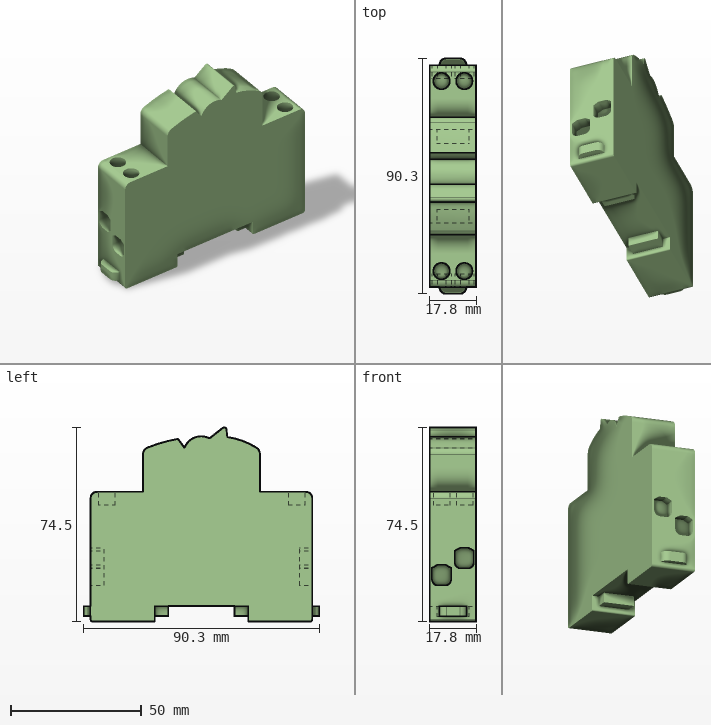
import math

import cadquery as cq

width = 17.8
overall_length = 90.32
overall_height = 74.45

body_length = 85.0
shoulder_height = 49.8
shoulder_radius = 2.5
foot_radius = 1.0

slot_length = 35.7
slot_height = 6.0
slot_edge_radius = 0.5

hood_length = 44.9
hood_radius = 3.0
rear_roof_radius = 60.0
front_roof_radius = 29.0
rear_eave_height = 66.0
front_eave_height = 65.8
rear_roof_end = (9.0, 70.1)
front_roof_end = (-9.95, 70.8)

hub_center = (0.1, 64.25)
hub_radius = 6.84
hub_gap_angle = math.radians(21)
hub_lever_angle = math.radians(118)
lever_angle = math.radians(38.7)
lever_back_draft = math.radians(5)
lever_tip_radius = 0.95
lever_tip_y = -8.7

clip_bottom = 2.15
clip_inner_y = 12.63
clip_tip_width = 8.76
clip_inner_width = 12.3
clip_draft = math.radians(19)
clip_tip_radius = 2.5

terminal_x = 4.36
screw_hole_diameter = 6.3
screw_hole_inset = 6.1
screw_hole_depth = 5.0
wire_hole_width = 7.35
wire_hole_height = 7.9
wire_hole_depth = 5.0
wire_hole_bottom_radius = 2.4
wire_hole_chamfer_width = 2.05
wire_hole_chamfer_height = 1.2
lower_wire_hole_bottom = 13.9
wire_hole_step = 6.53

ENDS = (-1, 1)


def on_circle(center, radius, angle):
    """Point on a circle, with the angle measured from +Y towards +Z."""
    return (center[0] + radius * math.cos(angle), center[1] + radius * math.sin(angle))


def make_body():
    """Lower block with rounded shoulders and feet, and the rail slot cut out."""
    half = body_length / 2
    block = cq.Workplane("XY").box(width, body_length, shoulder_height, centered=(True, True, False))
    block = block.edges("|X and >Z").fillet(shoulder_radius)
    block = block.edges("|X and <Z").fillet(foot_radius)
    slot = cq.Workplane("XY").box(width, slot_length, slot_height, centered=(True, True, False))
    block = block.cut(slot)
    slot_mouth = cq.selectors.BoxSelector(
        (-width, -half + 2 * foot_radius, -foot_radius),
        (width, half - 2 * foot_radius, foot_radius),
    )
    return block.edges("|X").edges(slot_mouth).fillet(slot_edge_radius)


def make_hood():
    """Raised middle part, including the toggle hub and lever."""
    half = hood_length / 2
    tip_center = (lever_tip_y, overall_height - lever_tip_radius)
    tip_start = on_circle(tip_center, lever_tip_radius, math.pi / 2 - lever_angle)
    tip_top = (lever_tip_y, overall_height)
    tip_end = on_circle(tip_center, lever_tip_radius, math.pi - lever_back_draft)

    gap_bottom = on_circle(hub_center, hub_radius, hub_gap_angle)
    hub_top = on_circle(hub_center, hub_radius, math.pi / 2)
    lever_root = on_circle(hub_center, hub_radius, hub_lever_angle)

    outline = (
        cq.Workplane("YZ", origin=(-width / 2, 0, 0))
        .moveTo(-half, slot_height)
        .lineTo(half, slot_height)
        .lineTo(half, rear_eave_height)
        .radiusArc(rear_roof_end, -rear_roof_radius)
        .lineTo(*gap_bottom)
        .threePointArc(hub_top, lever_root)
        .lineTo(*tip_start)
        .threePointArc(tip_top, tip_end)
        .lineTo(*front_roof_end)
        .radiusArc((-half, front_eave_height), -front_roof_radius)
        .close()
    )
    hood = outline.extrude(width)
    return hood.edges("|X and (<Y or >Y) and (not <Z)").fillet(hood_radius)


def make_clip(end):
    """Rail clip at one end: straight inside the body, drafted and rounded outside."""
    tip_y = end * overall_length / 2
    draft_length = (clip_inner_width - clip_tip_width) / 2 / math.tan(clip_draft)
    outline = [
        (-clip_tip_width / 2, tip_y),
        (clip_tip_width / 2, tip_y),
        (clip_inner_width / 2, tip_y - end * draft_length),
        (clip_inner_width / 2, end * clip_inner_y),
        (-clip_inner_width / 2, end * clip_inner_y),
        (-clip_inner_width / 2, tip_y - end * draft_length),
    ]
    clip = (
        cq.Workplane("XY", origin=(0, 0, clip_bottom))
        .polyline(outline)
        .close()
        .extrude(slot_height - clip_bottom)
    )
    tip_face = ">Y" if end > 0 else "<Y"
    return clip.faces(tip_face).edges("|Z").fillet(clip_tip_radius)


def make_screw_hole(x, end):
    """Blind round hole going down from the shoulder."""
    y = end * (body_length / 2 - screw_hole_inset)
    return (
        cq.Workplane("XY", origin=(x, y, shoulder_height - screw_hole_depth))
        .circle(screw_hole_diameter / 2)
        .extrude(screw_hole_depth)
    )


def make_wire_hole(x, bottom, end):
    """Blind wire entry in an end face: chamfered at the top, rounded at the bottom."""
    half = wire_hole_width / 2
    top_half = half - wire_hole_chamfer_width
    chamfer_start = wire_hole_height - wire_hole_chamfer_height
    outline = [
        (-half, 0),
        (half, 0),
        (half, chamfer_start),
        (top_half, wire_hole_height),
        (-top_half, wire_hole_height),
        (-half, chamfer_start),
    ]
    hole = (
        cq.Workplane("XZ", origin=(x, end * body_length / 2, bottom))
        .polyline(outline)
        .close()
        .extrude(end * wire_hole_depth)
    )
    return hole.edges("|Y and <Z").fillet(wire_hole_bottom_radius)


result = make_body().union(make_hood())
for end in ENDS:
    result = result.union(make_clip(end))
    for side in (-1, 1):
        x = side * terminal_x
        wire_hole_bottom = lower_wire_hole_bottom
        if side > 0:
            wire_hole_bottom += wire_hole_step
        result = result.cut(make_screw_hole(x, end))
        result = result.cut(make_wire_hole(x, wire_hole_bottom, end))